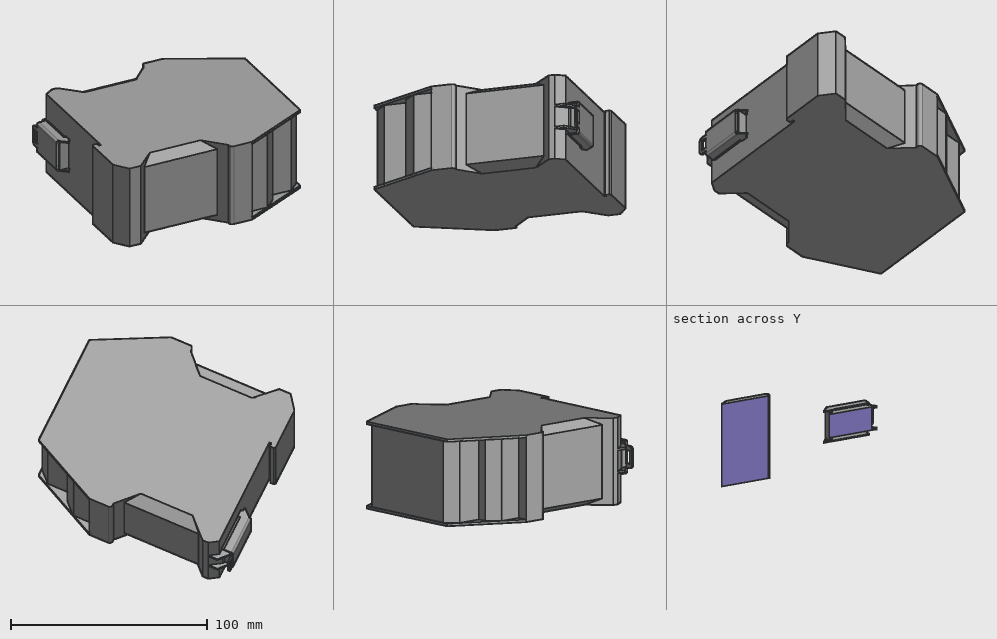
import cadquery as cq

width = 99.0
length = 113.6
depth = 45.1
half_width = width / 2
half_depth = depth / 2

back_half = 30.7
shoulder_y = 76.5
shoulder_low_y = 64.2
shoulder_round = 1.7
waist_start_half = 46.8
waist_half = 36.0
waist_top_y = 54.0
waist_low_y = 25.0
base_half = 46.3
base_top_y = 14.5
floor_y = 6.6

bevel_x = -43.3
bevel_y = 11.4

foot_x = 15.3
foot_y = 2.5
foot_chamfer = 0.8
hook_x = 17.3
hook_tip_y = 5.3
hook_root_y = 5.7
foot_bevel_x = 38.7
foot_bevel_y = 8.1

plate_thickness = 1.4
core_back_y = 113.1
step_rise = 5.9
step_run = 5.8
upper_step_half = 33.1
upper_step_y = 107.4
lower_step_half = 43.6
lower_step_y = 88.3

block_half = 42.6
block_chamfer_z = 3.5
block_low_y = 18.6
block_high_y = 60.1

clip_left = -40.9
clip_base_right = -19.2
clip_half = 8.7
clip_wall = 0.8
clip_base = 1.0
clip_round = 1.2
clip_wall_low_y = 1.4
jaw_low_x = -18.6
jaw_tip_x = -15.3
jaw_tip_y = 5.2
jaw_notch_x = -17.3
jaw_notch_y = 5.7
lip_right = -21.1
lip_drop = 1.4
arm_inner = 5.3
arm_outer = 6.5
arm_knee_y = 6.4
core_left = -41.2
core_upper_y = 5.2
core_lower_y = 4.4
bar_width = 1.1
bar_low_y = 2.5
bar_high_y = 4.9

tab_left = -45.4
tab_half = 5.8
tab_round = 2.3
slot_left = -43.8
slot_half = 3.4


def slab(points, z_low, z_high):
    """Extrude an XY outline between two heights."""
    return cq.Workplane("XY", origin=(0, 0, z_low)).polyline(points).close().extrude(z_high - z_low)


def box(x_low, x_high, y_low, y_high, z_half):
    """Box given by its X and Y limits, centred on Z."""
    corners = [(x_low, y_low), (x_high, y_low), (x_high, y_high), (x_low, y_high)]
    return slab(corners, -z_half, z_half)


def make_housing():
    """Prism with the shoulders, the waist, the rail floor and the fixed foot."""
    outline = [
        (-back_half, length),
        (back_half, length),
        (half_width, shoulder_y),
        (half_width, shoulder_low_y),
        (waist_start_half, shoulder_low_y),
        (waist_half, waist_top_y),
        (waist_half, waist_low_y),
        (base_half, base_top_y),
        (base_half, foot_bevel_y),
        (foot_bevel_x, foot_y),
        (foot_x + foot_chamfer, foot_y),
        (foot_x, foot_y + foot_chamfer),
        (foot_x, hook_tip_y),
        (hook_x, hook_root_y),
        (hook_x, floor_y),
        (bevel_x, floor_y),
        (-base_half, bevel_y),
        (-base_half, base_top_y),
        (-waist_half, waist_low_y),
        (-waist_half, waist_top_y),
        (-waist_start_half, shoulder_low_y),
        (-half_width, shoulder_low_y),
        (-half_width, shoulder_y),
    ]
    housing = slab(outline, -half_depth, half_depth)
    for side in (-1, 1):
        corner = cq.selectors.NearestToPointSelector((side * half_width, shoulder_low_y, 0))
        housing = housing.edges("|Z").edges(corner).fillet(shoulder_round)
    return housing


def make_back_cut(side):
    """Space outside the stepped core, between the side plates, on one side."""
    outer_x = width
    outer_y = 2 * length
    outline = [
        (0, outer_y),
        (0, core_back_y),
        (upper_step_half - step_run, core_back_y),
        (upper_step_half, upper_step_y),
        (upper_step_half, lower_step_y + step_rise),
        (lower_step_half - step_run, lower_step_y + step_rise),
        (lower_step_half, lower_step_y),
        (lower_step_half, shoulder_y),
        (outer_x, shoulder_y),
        (outer_x, outer_y),
    ]
    core_half_depth = half_depth - plate_thickness
    return slab([(side * x, y) for x, y in outline], -core_half_depth, core_half_depth)


def make_waist_block():
    """Chamfered block that fills both side recesses."""
    face_z = half_depth - block_chamfer_z
    section = [
        (-waist_half, half_depth),
        (waist_half, half_depth),
        (block_half, face_z),
        (block_half, -face_z),
        (waist_half, -half_depth),
        (-waist_half, -half_depth),
        (-block_half, -face_z),
        (-block_half, face_z),
    ]
    plane = cq.Workplane("XZ", origin=(0, block_high_y, 0))
    return plane.polyline(section).close().extrude(block_high_y - block_low_y)


def make_clip_base():
    """Front plate of the clip, with its slotted pull tab on the left."""
    plate = box(clip_left, clip_base_right, 0, clip_wall_low_y, clip_half)
    plate = plate.faces("<Y").edges("|X").fillet(clip_round)
    tab = box(tab_left, clip_left, 0, clip_base, tab_half)
    tab = tab.edges("|Y and <X").fillet(tab_round)
    slot = box(slot_left, clip_left, 0, clip_base, slot_half)
    return plate.union(tab.cut(slot))


def make_clip_walls():
    """Two side walls with the rail jaw at the right and a bevelled lip on top."""
    outline = [
        (clip_left, clip_wall_low_y),
        (jaw_low_x, clip_wall_low_y),
        (jaw_tip_x, jaw_tip_y),
        (jaw_notch_x, jaw_notch_y),
        (jaw_notch_x, floor_y),
        (clip_left, floor_y),
    ]
    inner = clip_half - clip_wall
    lip_section = [
        (floor_y, inner),
        (floor_y, clip_half),
        (floor_y - lip_drop, clip_half),
    ]
    lip = cq.Workplane("YZ", origin=(clip_left, 0, 0)).polyline(lip_section).close()
    wall = slab(outline, inner, clip_half).cut(lip.extrude(lip_right - clip_left))
    return wall.union(wall.mirror("XY"))


def make_clip_arms():
    """Two thin ribs that carry the clip from the housing corner."""
    outline = [
        (-base_half, bevel_y),
        (-base_half, arm_knee_y),
        (clip_left, clip_wall_low_y),
        (clip_base_right, clip_wall_low_y),
        (clip_base_right, floor_y),
        (bevel_x, floor_y),
    ]
    arm = slab(outline, arm_inner, arm_outer)
    return arm.union(arm.mirror("XY"))


def make_clip_core():
    """Block between the arms, with an end wall and bar spanning the side walls."""
    bevel_slope = (bevel_y - floor_y) / (base_half + bevel_x)
    core_upper_x = bevel_x + (floor_y - core_upper_y) / bevel_slope
    outline = [
        (bevel_x, floor_y),
        (core_upper_x, core_upper_y),
        (core_left, core_lower_y),
        (core_left, clip_base),
        (clip_base_right, clip_base),
        (clip_base_right, floor_y),
    ]
    core = slab(outline, -arm_inner, arm_inner)
    cavity_half = clip_half - clip_wall
    end_wall = box(clip_base_right, clip_base_right + bar_width, clip_wall_low_y, floor_y, cavity_half)
    bar = box(clip_base_right - bar_width, clip_base_right, bar_low_y, bar_high_y, cavity_half)
    return core.union(end_wall).union(bar)


result = make_housing()
for side in (-1, 1):
    result = result.cut(make_back_cut(side))
result = result.union(make_waist_block())
for feature in (make_clip_base(), make_clip_walls(), make_clip_arms(), make_clip_core()):
    result = result.union(feature)